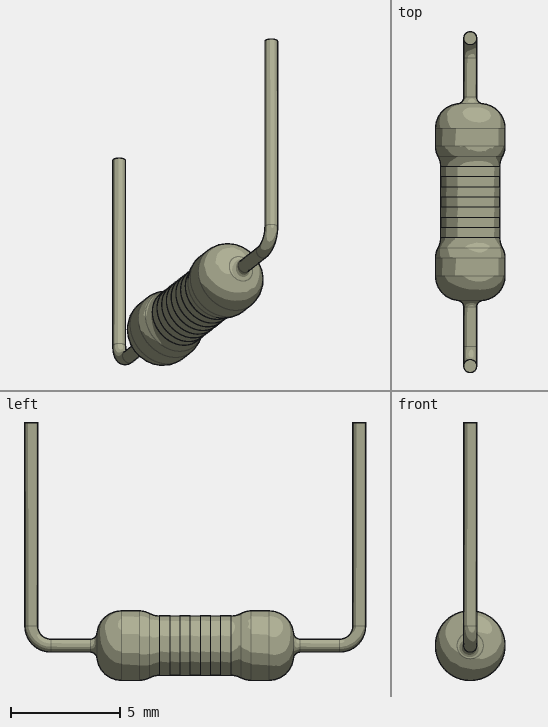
import cadquery as cq
import math


lead_diameter = 0.6
lead_pitch = 15.0
lead_top = 10.2
bend_radius = 0.9

body_length = 9.0
cap_diameter = 3.2
dome_length = 1.13
cap_straight = 0.81
collar_radius = 0.3

waist_diameter = 2.72
band_diameter = 2.74
section_count = 7
section_length = 0.465

lead_radius = lead_diameter / 2
cap_radius = cap_diameter / 2
waist_radius = waist_diameter / 2
half_body = body_length / 2
half_pitch = lead_pitch / 2
half_waist = section_count * section_length / 2
cap_outer = half_body - dome_length
cap_inner = cap_outer - cap_straight


def axial_arc_middle(start, end):
    """Middle point of the (radius, y) arc to end that leaves start parallel to the body axis."""
    rise = end[0] - start[0]
    run = end[1] - start[1]
    half_angle = math.atan2(abs(rise), abs(run))
    arc_radius = (run**2 + rise**2) / (2 * abs(rise))
    middle_rise = arc_radius * (1 - math.cos(half_angle))
    middle_run = arc_radius * math.sin(half_angle)
    return (start[0] + math.copysign(middle_rise, rise), start[1] + math.copysign(middle_run, run))


def make_cap():
    """Cap on the +Y side: S-shaped shoulder, straight cylinder, dome and collar around the lead."""
    waist_edge = (waist_radius, half_waist)
    shoulder_edge = ((cap_radius + waist_radius) / 2, (cap_inner + half_waist) / 2)
    cap_inner_edge = (cap_radius, cap_inner)
    cap_outer_edge = (cap_radius, cap_outer)
    dome_edge = (lead_radius + collar_radius, half_body)
    collar_edge = (lead_radius, half_body + collar_radius)
    profile = (
        cq.Workplane("XY")
        .moveTo(0, half_waist)
        .lineTo(*waist_edge)
        .threePointArc(axial_arc_middle(waist_edge, shoulder_edge), shoulder_edge)
        .threePointArc(axial_arc_middle(cap_inner_edge, shoulder_edge), cap_inner_edge)
        .lineTo(*cap_outer_edge)
        .threePointArc(axial_arc_middle(cap_outer_edge, dome_edge), dome_edge)
        .threePointArc(axial_arc_middle(collar_edge, dome_edge), collar_edge)
        .lineTo(0, collar_edge[1])
        .close()
    )
    return profile.revolve(360, (0, 0, 0), (0, 1, 0))


def make_disc(diameter, start_y, length):
    """Cylinder about Y reaching from start_y towards +Y."""
    return cq.Workplane("XZ", origin=(0, start_y, 0)).circle(diameter / 2).extrude(-length)


def make_waist():
    """Slim middle of the body, with colour bands standing slightly proud of it."""
    waist = make_disc(waist_diameter, -half_waist, 2 * half_waist)
    for index in range(0, section_count, 2):
        band_start = index * section_length - half_waist
        waist = waist.union(make_disc(band_diameter, band_start, section_length))
    return waist


def make_lead():
    """Lead on the +Y side: out along the axis, a quarter bend, then straight up."""
    bend_start = half_pitch - bend_radius
    diagonal = bend_radius * math.sqrt(0.5)
    bend_middle = (bend_start + diagonal, bend_radius - diagonal)
    path = (
        cq.Workplane("YZ")
        .moveTo(half_body, 0)
        .lineTo(bend_start, 0)
        .threePointArc(bend_middle, (half_pitch, bend_radius))
        .lineTo(half_pitch, lead_top)
    )
    return cq.Workplane("XZ", origin=(0, half_body, 0)).circle(lead_radius).sweep(path)


half_part = make_cap().union(make_lead())
result = make_waist().union(half_part).union(half_part.mirror("XZ"))